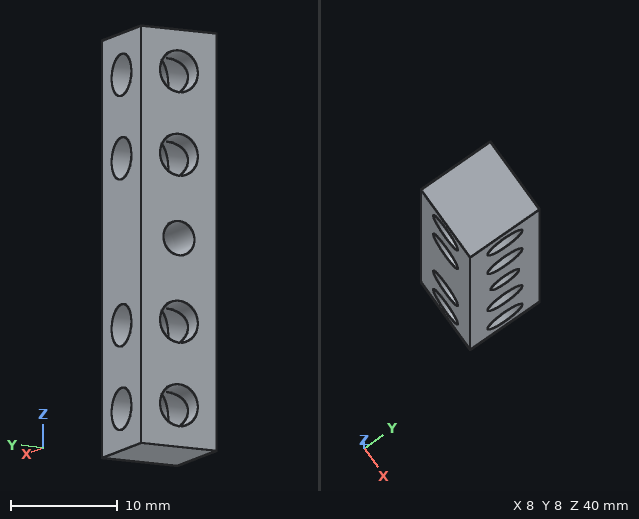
import cadquery as cq

width = 8.0
height = 40.0

pitch = width
hole_count = 5
large_diameter = 4.0
small_diameter = 3.3

middle = hole_count // 2
first_hole_z = (height - (hole_count - 1) * pitch) / 2
hole_heights = [first_hole_z + i * pitch for i in range(hole_count)]
middle_height = hole_heights[middle]
outer_heights = [z for z in hole_heights if z != middle_height]


def cross_holes(plane, heights, diameter):
    """Cylinders through the full width of the bar, normal to the given plane."""
    centers = [(0, z) for z in heights]
    return (
        cq.Workplane(plane)
        .pushPoints(centers)
        .circle(diameter / 2)
        .extrude(width / 2, both=True)
    )


bar = cq.Workplane("XY").box(width, width, height, centered=(True, True, False))

result = (
    bar
    .cut(cross_holes("XZ", outer_heights, large_diameter))
    .cut(cross_holes("YZ", outer_heights, large_diameter))
    .cut(cross_holes("YZ", [middle_height], small_diameter))
)